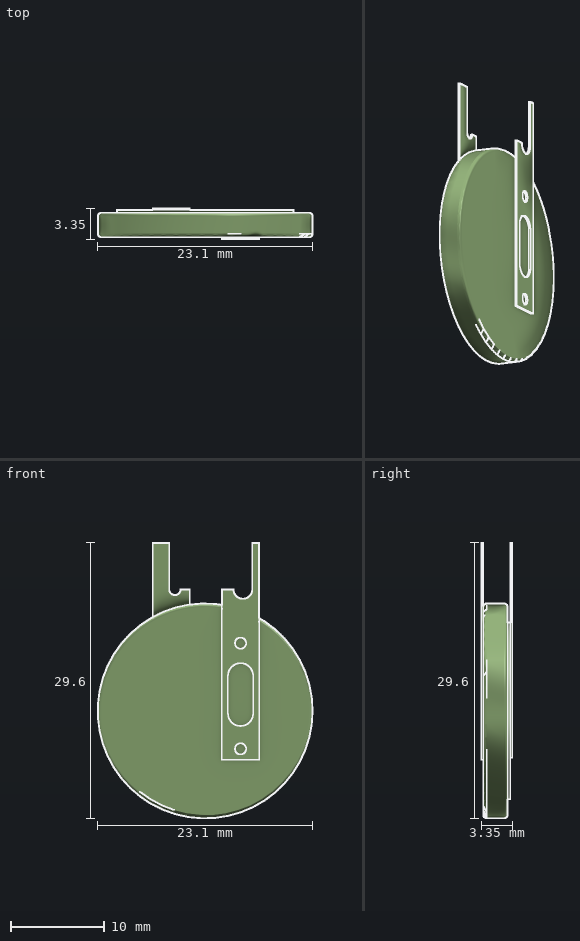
import cadquery as cq

cell_diameter = 23.1
cell_thickness = 2.65
cell_edge_radius = 0.4

cap_diameter = 19.0
cap_height = 0.3

tab_width = 4.0
tab_thickness = 0.2
tab_top = 18.05
pin_length = 5.0
shoulder_height = tab_top - pin_length

front_tab_left = 1.8
front_tab_right = front_tab_left + tab_width
front_tab_bottom = -5.25
front_tab_y = -tab_thickness
front_pin_width = 0.75
front_notch_diameter = 2.0

back_tab_left = -5.65
back_tab_right = back_tab_left + tab_width
back_tab_bottom = -5.05
back_tab_y = cell_thickness + cap_height
back_pin_width = 1.8
back_notch_diameter = 1.2

slot_width = 2.7
slot_length = 6.75
slot_center_height = 1.75
hole_diameter = 1.2
hole_count = 2
hole_spacing = 11.35
hole_center_height = 1.6


def disc(diameter, thickness, front_y):
    """Disc with its axis along Y, running toward +Y from front_y."""
    return cq.Workplane("XZ", origin=(0, front_y, 0)).circle(diameter / 2).extrude(-thickness)


def strip(left, right, bottom, top, front_y):
    """Flat strip of tab thickness, running toward +Y from front_y."""
    blank = cq.Workplane("XY").box(right - left, tab_thickness, top - bottom, centered=False)
    return blank.translate((left, front_y, bottom))


def notch(center_x, diameter, front_y):
    """Round cutter centred on the shoulder line of a tab."""
    return disc(diameter, tab_thickness, front_y).translate((center_x, 0, shoulder_height))


def make_cell():
    """Can with rounded rims and the raised disc on its back face."""
    can = disc(cell_diameter, cell_thickness, 0).edges().fillet(cell_edge_radius)
    return can.union(disc(cap_diameter, cap_height, cell_thickness))


def make_front_tab_openings():
    """Cutters for the slot and the holes above and below it."""
    center_x = (front_tab_left + front_tab_right) / 2
    tab_plane = cq.Workplane("XZ", origin=(center_x, 0, 0))
    slot = (
        tab_plane.center(0, slot_center_height)
        .slot2D(slot_length, slot_width, angle=90)
        .extrude(tab_thickness)
    )
    holes = (
        tab_plane.center(0, hole_center_height)
        .rarray(hole_spacing, hole_spacing, 1, hole_count)
        .circle(hole_diameter / 2)
        .extrude(tab_thickness)
    )
    return slot.union(holes)


def make_front_tab():
    """Tab on the front face of the cell, with its pin on the right."""
    pin_left = front_tab_right - front_pin_width
    notch_x = pin_left - front_notch_diameter / 2
    body = strip(front_tab_left, front_tab_right, front_tab_bottom, shoulder_height, front_tab_y)
    pin = strip(pin_left, front_tab_right, shoulder_height, tab_top, front_tab_y)
    tab = body.union(pin).cut(notch(notch_x, front_notch_diameter, front_tab_y))
    return tab.cut(make_front_tab_openings())


def make_back_tab():
    """Tab on the raised disc, with its pin on the left."""
    pin_right = back_tab_left + back_pin_width
    notch_x = pin_right + back_notch_diameter / 2
    body = strip(back_tab_left, back_tab_right, back_tab_bottom, shoulder_height, back_tab_y)
    pin = strip(back_tab_left, pin_right, shoulder_height, tab_top, back_tab_y)
    return body.union(pin).cut(notch(notch_x, back_notch_diameter, back_tab_y))


result = make_cell().union(make_front_tab()).union(make_back_tab())